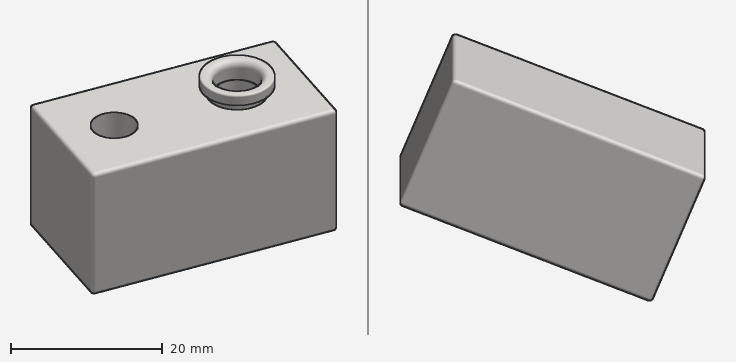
import cadquery as cq
import math

width = 19.05
length = 36.0
height = 19.05
edge_radius = 0.55

hole_spacing = 18.0
rear_hole_y = 7.85
front_hole_y = rear_hole_y - hole_spacing
hole_radius = 3.13
hole_depth = 10.8
drill_point_angle = 118.0

overall_height = 21.85
neck_radius = 4.1
neck_height = 1.25
flange_radius = 5.0
flange_edge_radius = 0.25
bore_radius = 3.2
mouth_radius = 1.0


def drilled_hole(y):
    """Cutter for a blind hole from the block's top face, ending in a drill point."""
    point_depth = hole_radius / math.tan(math.radians(drill_point_angle / 2))
    shoulder_z = height - hole_depth
    profile = (
        cq.Workplane("XZ")
        .moveTo(0, height)
        .lineTo(hole_radius, height)
        .lineTo(hole_radius, shoulder_z)
        .lineTo(0, shoulder_z - point_depth)
        .close()
    )
    return profile.revolve(360, (0, 0), (0, 1)).translate((0, y, 0))


def collar(y):
    """Neck and flange with a bore that flares out at a rounded mouth."""
    flange_z = height + neck_height
    flange_height = overall_height - flange_z
    neck = cq.Workplane("XY").workplane(offset=height).circle(neck_radius).extrude(neck_height)
    flange = cq.Workplane("XY").workplane(offset=flange_z).circle(flange_radius).extrude(flange_height)
    flange = flange.faces(">Z").edges().fillet(flange_edge_radius)
    bore = (
        cq.Workplane("XY")
        .workplane(offset=height)
        .circle(bore_radius)
        .extrude(overall_height - height)
    )
    bored = neck.union(flange).cut(bore)
    inner_rim = bored.faces(">Z").edges(cq.selectors.RadiusNthSelector(0))
    return inner_rim.fillet(mouth_radius).translate((0, y, 0))


block = cq.Workplane("XY").box(width, length, height, centered=(True, True, False))
block = block.edges().fillet(edge_radius)
for hole_y in (rear_hole_y, front_hole_y):
    block = block.cut(drilled_hole(hole_y))

result = block.union(collar(rear_hole_y))